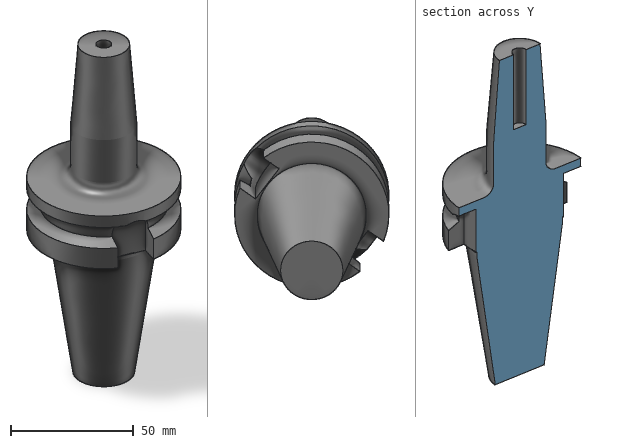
import cadquery as cq

total_height = 155.4
gauge_z = 65.5
flange_bottom_z = 67.5
flange_top_z = 92.5
cone_start_z = 117.6

gauge_radius = 22.2
taper_rate = 7 / 24
taper_end_radius = gauge_radius - taper_rate * gauge_z / 2

flange_radius = 63.0 / 2
groove_radius = 26.3
lower_rim_top_z = 77.1
groove_bottom_z = 79.4
groove_top_z = 84.5
upper_rim_bottom_z = 87.0

neck_radius = 13.5
tip_radius = 10.5
neck_fillet = 5.0
bore_diameter = 6.4
bore_depth = 36.0

key_width = 16.2
key_top_z = 88.3
key_floor_x = 22.5


def make_body():
    """Revolved shank, grooved flange, neck and tapered nose."""
    profile = (
        cq.Workplane("XZ")
        .lineTo(taper_end_radius, 0)
        .lineTo(gauge_radius, gauge_z)
        .lineTo(gauge_radius, flange_bottom_z)
        .lineTo(flange_radius, flange_bottom_z)
        .lineTo(flange_radius, lower_rim_top_z)
        .lineTo(groove_radius, groove_bottom_z)
        .lineTo(groove_radius, groove_top_z)
        .lineTo(flange_radius, upper_rim_bottom_z)
        .lineTo(flange_radius, flange_top_z)
        .lineTo(neck_radius + neck_fillet, flange_top_z)
        .radiusArc((neck_radius, flange_top_z + neck_fillet), neck_fillet)
        .lineTo(neck_radius, cone_start_z)
        .lineTo(tip_radius, total_height)
        .lineTo(0, total_height)
        .close()
    )
    return profile.revolve(360, (0, 0, 0), (0, 1, 0))


def make_keyway():
    """Round-topped slot cutter on the +X side, open at the flange underside."""
    half_width = key_width / 2
    arc_start_z = key_top_z - half_width
    return (
        cq.Workplane("YZ", origin=(key_floor_x, 0, 0))
        .moveTo(-half_width, flange_bottom_z)
        .lineTo(half_width, flange_bottom_z)
        .lineTo(half_width, arc_start_z)
        .threePointArc((0, key_top_z), (-half_width, arc_start_z))
        .close()
        .extrude(flange_radius)
    )


def make_bore():
    """Blind tool bore in the nose."""
    return (
        cq.Workplane("XY", origin=(0, 0, total_height - bore_depth))
        .circle(bore_diameter / 2)
        .extrude(bore_depth)
    )


result = make_body().cut(make_bore())
for angle in (0, 180):
    result = result.cut(make_keyway().rotate((0, 0, 0), (0, 0, 1), angle))